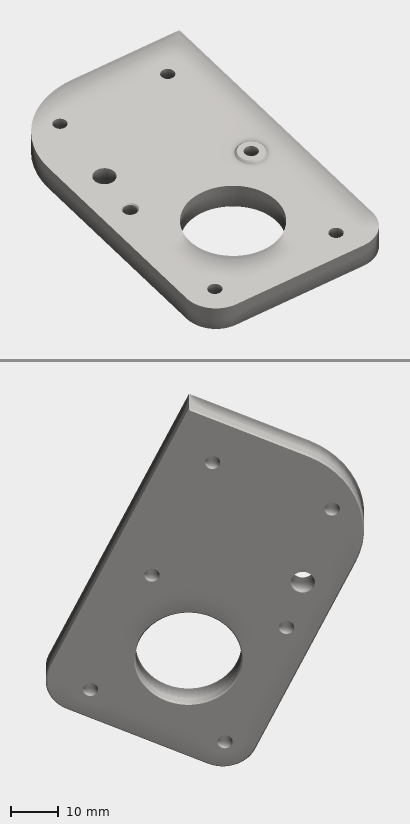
import cadquery as cq

length = 78.0
width = 47.5
thickness = 6.0
large_corner_radius = 20.0
small_corner_radius = 7.5
bottom_chamfer = 0.3

seat_height = 0.5
seat_base_diameter = 7.0
seat_top_diameter = seat_base_diameter - 2 * seat_height

screw_diameter = 3.2
countersink_diameter = 3.8
bore_diameter = 22.2
passage_diameter = 5.1
passage_center = (-10.1, -15.7)

motor_pitch = 31.0
motor_edge_inset = 6.55
edge_inset = 10.0

left_x = -length / 2 + edge_inset
top_y = width / 2 - edge_inset
lower_left_y = -width / 2 + edge_inset
motor_right_x = length / 2 - motor_edge_inset
motor_left_x = motor_right_x - motor_pitch
motor_bottom_y = top_y - motor_pitch
bore_center = (motor_right_x - motor_pitch / 2, top_y - motor_pitch / 2)

seat_center = (motor_left_x, top_y)
countersink_center = (motor_left_x, motor_bottom_y)
screw_centers = [
    (left_x, top_y),
    (left_x, lower_left_y),
    (motor_right_x, top_y),
    (motor_right_x, motor_bottom_y),
    seat_center,
    countersink_center,
]


def make_plate():
    """Plate with three rounded corners and a bore, chamfered along its bottom edges."""
    plate = cq.Workplane("XY").box(length, width, thickness, centered=(True, True, False))
    plate = plate.edges("|Z and <X and <Y").fillet(large_corner_radius)
    plate = plate.edges("|Z and >X").fillet(small_corner_radius)
    plate = plate.cut(make_through_holes([bore_center], bore_diameter))
    return plate.faces("<Z").edges().chamfer(bottom_chamfer)


def make_seat():
    """Truncated cone standing on the top face."""
    return (
        cq.Workplane("XY", origin=(*seat_center, thickness))
        .circle(seat_base_diameter / 2)
        .workplane(offset=seat_height)
        .circle(seat_top_diameter / 2)
        .loft()
    )


def make_through_holes(centers, diameter):
    """Cylinders long enough to pass through the plate and the seat."""
    return (
        cq.Workplane("XY")
        .pushPoints(centers)
        .circle(diameter / 2)
        .extrude(thickness + seat_height)
    )


def make_countersink():
    """Shallow 45-degree cone that breaks the top edge of one screw hole."""
    depth = (countersink_diameter - screw_diameter) / 2
    return (
        cq.Workplane("XY", origin=(*countersink_center, thickness - depth))
        .circle(screw_diameter / 2)
        .workplane(offset=depth)
        .circle(countersink_diameter / 2)
        .loft()
    )


result = (
    make_plate()
    .union(make_seat())
    .cut(make_through_holes(screw_centers, screw_diameter))
    .cut(make_through_holes([passage_center], passage_diameter))
    .cut(make_countersink())
)